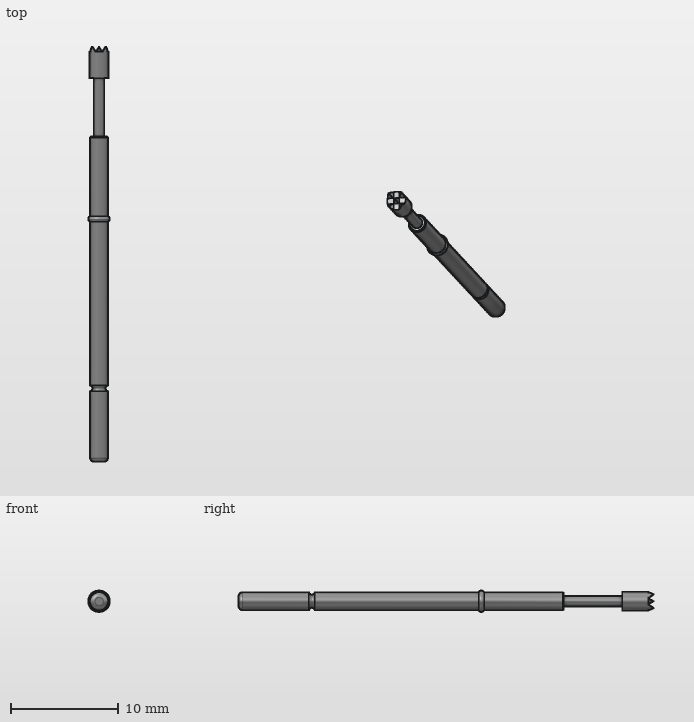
import cadquery as cq
import math

length = 38.7
tip_y = length / 2
tail_y = -length / 2

head_radius = 0.9
head_length = 2.95
rod_radius = 0.5

barrel_radius = 0.85
barrel_length = 30.35
barrel_mouth_y = tail_y + barrel_length
mouth_chamfer = 0.1
tail_nose_length = 0.4
tail_flat_radius = 0.4

bead_radius = 1.0
bead_width = 0.5
bead_y = tip_y - 16.05
groove_depth = 0.25
groove_width = 0.55
groove_y = tip_y - 31.85

crown_depth = 0.5
crown_floor_half = 0.27
crown_tooth_offset = head_radius / math.sqrt(2)


def make_body():
    """Revolve the half profile (radius, y) from the tail to the blank head."""
    nose_start_y = tail_y + tail_nose_length
    nose_mid_radius = tail_flat_radius + (barrel_radius - tail_flat_radius) * math.sqrt(0.5)
    nose_mid_y = nose_start_y - tail_nose_length * math.sqrt(0.5)
    half_groove = groove_width / 2
    half_bead = bead_width / 2
    return (
        cq.Workplane("XY")
        .moveTo(0, tail_y)
        .lineTo(tail_flat_radius, tail_y)
        .threePointArc((nose_mid_radius, nose_mid_y), (barrel_radius, nose_start_y))
        .lineTo(barrel_radius, groove_y - half_groove)
        .threePointArc((barrel_radius - groove_depth, groove_y), (barrel_radius, groove_y + half_groove))
        .lineTo(barrel_radius, bead_y - half_bead)
        .threePointArc((bead_radius, bead_y), (barrel_radius, bead_y + half_bead))
        .lineTo(barrel_radius, barrel_mouth_y - mouth_chamfer)
        .lineTo(barrel_radius - mouth_chamfer, barrel_mouth_y)
        .lineTo(rod_radius, barrel_mouth_y)
        .lineTo(rod_radius, tip_y - head_length)
        .lineTo(head_radius, tip_y - head_length)
        .lineTo(head_radius, tip_y)
        .lineTo(0, tip_y)
        .close()
        .revolve(360, (0, 0, 0), (0, 1, 0))
    )


def cross_bar(outline):
    """Extrude an outline (across, y) right through the head along Z."""
    return cq.Workplane("XY").polyline(outline).close().extrude(head_radius * 2, both=True)


def quarter_turn(shape):
    """Turn a shape a quarter turn about the probe axis."""
    return shape.rotate((0, 0, 0), (0, 1, 0), 90)


def cut_crown(body):
    """Mill two crossing flat-bottomed grooves and leave a pyramid at the centre."""
    floor_y = tip_y - crown_depth
    groove = cross_bar([
        (-crown_floor_half, floor_y),
        (crown_floor_half, floor_y),
        (crown_tooth_offset, tip_y),
        (-crown_tooth_offset, tip_y),
    ])
    ridge_base_y = tip_y - head_length / 2
    ridge = cross_bar([
        (-crown_floor_half, ridge_base_y),
        (crown_floor_half, ridge_base_y),
        (crown_floor_half, floor_y),
        (0, tip_y),
        (-crown_floor_half, floor_y),
    ])
    pyramid = ridge.intersect(quarter_turn(ridge))
    return body.cut(groove).cut(quarter_turn(groove)).union(pyramid)


result = cut_crown(make_body())